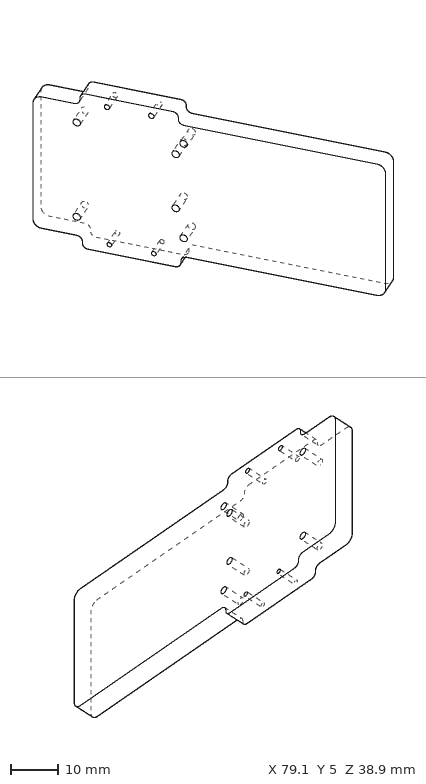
import cadquery as cq

length = 79.1
thickness = 5.0
overall_height = 38.9
body_height = 33.05
body_corner_radius = 2.0

tab_width = 22.1
upper_tab_center_x = -17.95
tab_shift = 0.55
lower_tab_center_x = upper_tab_center_x + tab_shift
tab_fillet_radius = 1.3

tab_hole_spacing = 10.0
tab_hole_z = 17.25
upper_tab_hole_diameter = 1.2
lower_tab_hole_diameter = 1.0

mount_hole_diameter = 1.7
mount_center_x = -17.7
mount_spacing_x = 24.0
mount_spacing_z = 23.7
inner_hole_x = -7.5
inner_hole_center_z = 2.05
inner_hole_spacing = 13.6


def block(width, height, center_x=0.0):
    """Rectangular block of the plate's thickness."""
    return cq.Workplane("XY").box(width, thickness, height).translate((center_x, 0, 0))


def fillet_edges(plate, center_x, half_width, z, radius):
    """Round the two Y-direction edges at center_x +/- half_width on level z."""
    for side in (-1, 1):
        point = (center_x + side * half_width, 0, z)
        plate = plate.edges(cq.selectors.NearestToPointSelector(point)).fillet(radius)
    return plate


def add_tab(plate, center_x, direction):
    """Add a tab above (direction 1) or below (-1) with rounded roots and corners."""
    tab_height = overall_height / 2
    tab = block(tab_width, tab_height, center_x).translate((0, 0, direction * tab_height / 2))
    plate = plate.union(tab)
    for z in (body_height / 2, overall_height / 2):
        plate = fillet_edges(plate, center_x, tab_width / 2, direction * z, tab_fillet_radius)
    return plate


def drill(plate, points, diameter):
    """Cut through holes along Y at the given (x, z) points."""
    cutter = (
        cq.Workplane("XZ")
        .pushPoints(points)
        .circle(diameter / 2)
        .extrude(thickness, both=True)
    )
    return plate.cut(cutter)


def tab_hole_points(center_x, z):
    """Two hole positions spread evenly about the tab's centre."""
    return [(center_x + side * tab_hole_spacing / 2, z) for side in (-1, 1)]


result = block(length, body_height).edges("|Y").fillet(body_corner_radius)
result = add_tab(result, upper_tab_center_x, 1)
result = add_tab(result, lower_tab_center_x, -1)

upper_points = tab_hole_points(upper_tab_center_x, tab_hole_z)
lower_points = tab_hole_points(lower_tab_center_x, -tab_hole_z)
result = drill(result, upper_points, upper_tab_hole_diameter)
result = drill(result, lower_points, lower_tab_hole_diameter)

mount_points = [
    (mount_center_x + x_side * mount_spacing_x / 2, z_side * mount_spacing_z / 2)
    for x_side in (-1, 1)
    for z_side in (-1, 1)
]
inner_points = [
    (inner_hole_x, inner_hole_center_z + side * inner_hole_spacing / 2)
    for side in (-1, 1)
]
result = drill(result, mount_points + inner_points, mount_hole_diameter)